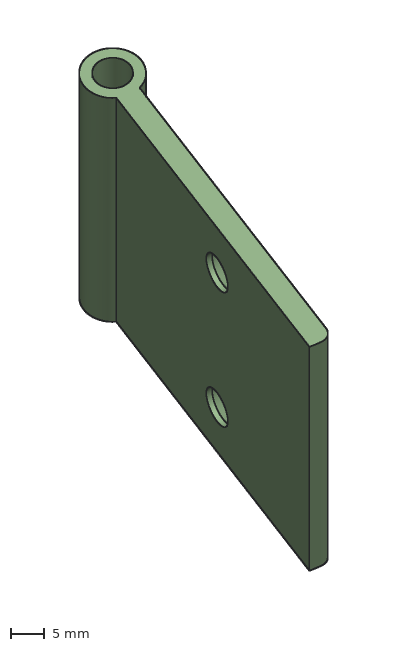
import cadquery as cq

length = 67.0
height = 50.0

barrel_diameter = 10.0
bore_diameter = 6.1

leaf_thickness = 4.0
edge_radius = 2.0

hole_diameter = 6.4
hole_land = 1.0
hole_spacing = 30.0
hole_from_barrel_side = 39.5

barrel_side_x = -barrel_diameter / 2
leaf_end_x = barrel_side_x + length
hole_x = barrel_side_x + hole_from_barrel_side


def make_leaf():
    """Plate running from the barrel axis, with its far back edge rounded."""
    leaf = cq.Workplane("XY").box(
        leaf_end_x, leaf_thickness, height, centered=(False, True, False)
    )
    return leaf.edges("|Z and >X and >Y").fillet(edge_radius)


def make_mounting_hole(hole_z):
    """Cutter for one hole along Y: a short straight land, then a cone opening to the back face."""
    hole_radius = hole_diameter / 2
    front_y = -leaf_thickness / 2
    back_y = leaf_thickness / 2
    cone_start_y = front_y + hole_land
    sink_radius = hole_radius + back_y - cone_start_y
    profile = [
        (0, front_y),
        (hole_radius, front_y),
        (hole_radius, cone_start_y),
        (sink_radius, back_y),
        (0, back_y),
    ]
    cutter = cq.Workplane("XY").polyline(profile).close().revolve(360, (0, 0), (0, 1))
    return cutter.translate((hole_x, 0, hole_z))


barrel = cq.Workplane("XY").circle(barrel_diameter / 2).extrude(height)
bore = cq.Workplane("XY").circle(bore_diameter / 2).extrude(height)

result = barrel.union(make_leaf()).cut(bore)

for side in (-1, 1):
    result = result.cut(make_mounting_hole(height / 2 + side * hole_spacing / 2))